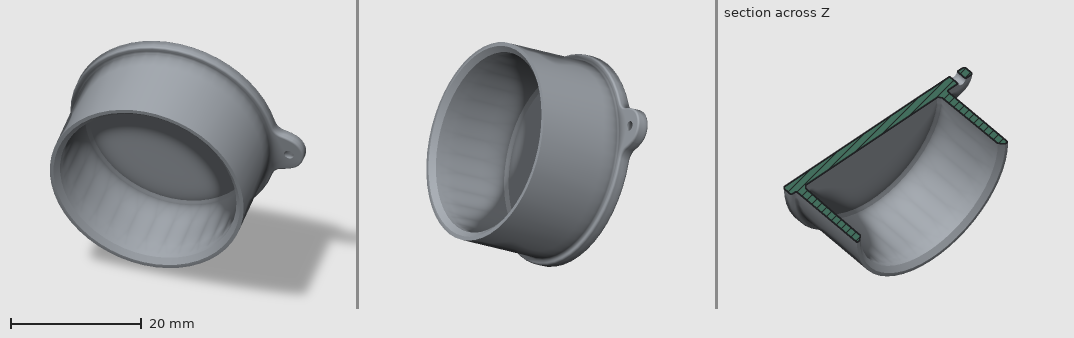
import cadquery as cq
import math


barrel_length = 14.0
barrel_radius = 15.5
rim_width = 0.6
mouth_chamfer = 0.8
bore_mouth_radius = barrel_radius - rim_width - mouth_chamfer
bore_draft = 0.15
floor_chamfer = 0.5
bore_floor_radius = bore_mouth_radius - bore_draft

flange_thickness = 2.0
flange_radius = 16.5
back_fillet = 0.5
front_fillet = 0.3
neck_fillet = 0.3

tab_tip_x = 20.78
tab_tip_radius = 3.0
tab_side_radius = 8.0
tab_side_angle = 65.0
tab_root_radius = 2.0
hole_x = 18.5
hole_diameter = 1.5


def polar(center, radius, angle):
    """Point at a radius and angle (radians) from a center."""
    return (center[0] + radius * math.cos(angle), center[1] + radius * math.sin(angle))


def direction(start, end):
    """Angle in radians of the line from start to end."""
    return math.atan2(end[1] - start[1], end[0] - start[0])


def mirrored(point):
    """Mirror image of an outline point across the X axis."""
    return (point[0], -point[1])


def flange_outline():
    """Closed outline of disc and tab, every arc tangent to the next, in the XZ plane."""
    disc_center = (0.0, 0.0)
    tip_center = (tab_tip_x - tab_tip_radius, 0.0)
    side_angle = math.radians(tab_side_angle)
    side_center = polar(tip_center, tab_tip_radius - tab_side_radius, side_angle)

    to_disc = flange_radius + tab_root_radius
    to_side = tab_side_radius + tab_root_radius
    spacing = math.dist(disc_center, side_center)
    cos_corner = (to_disc**2 + spacing**2 - to_side**2) / (2 * to_disc * spacing)
    root_angle = direction(disc_center, side_center) + math.acos(cos_corner)
    root_center = polar(disc_center, to_disc, root_angle)
    side_start_angle = direction(side_center, root_center)

    disc_end = polar(disc_center, flange_radius, root_angle)
    root_mid = polar(root_center, tab_root_radius,
                     math.pi + (root_angle + side_start_angle) / 2)
    side_start = polar(side_center, tab_side_radius, side_start_angle)
    side_mid = polar(side_center, tab_side_radius, (side_start_angle + side_angle) / 2)
    tip_start = polar(tip_center, tab_tip_radius, side_angle)

    return (
        cq.Workplane("XZ")
        .moveTo(*disc_end)
        .threePointArc(root_mid, side_start)
        .threePointArc(side_mid, tip_start)
        .threePointArc((tab_tip_x, 0), mirrored(tip_start))
        .threePointArc(mirrored(side_mid), mirrored(side_start))
        .threePointArc(mirrored(root_mid), mirrored(disc_end))
        .threePointArc((-flange_radius, 0), disc_end)
        .close()
    )


def make_flange():
    """Flange plate with its tab, rounded along both edges."""
    plate = flange_outline().extrude(-flange_thickness)
    plate = plate.faces(">Y").edges().fillet(back_fillet)
    plate = plate.faces("<Y").edges().fillet(front_fillet)
    return plate.translate((0, barrel_length, 0))


def make_barrel():
    """Solid barrel, flaring into the flange through a concave fillet."""
    flare_radius = barrel_radius + neck_fillet
    neck_start = barrel_length - neck_fillet
    diagonal = neck_fillet * math.sqrt(0.5)
    return (
        cq.Workplane("XY")
        .lineTo(barrel_radius, 0)
        .lineTo(barrel_radius, neck_start)
        .threePointArc((flare_radius - diagonal, neck_start + diagonal), (flare_radius, barrel_length))
        .lineTo(0, barrel_length)
        .close()
        .revolve(360, (0, 0, 0), (0, 1, 0))
    )


def make_bore():
    """Tapered cavity with a chamfered mouth and a chamfered floor corner."""
    return (
        cq.Workplane("XY")
        .lineTo(bore_mouth_radius + mouth_chamfer, 0)
        .lineTo(bore_mouth_radius, mouth_chamfer)
        .lineTo(bore_floor_radius, barrel_length - floor_chamfer)
        .lineTo(bore_floor_radius - floor_chamfer, barrel_length)
        .lineTo(0, barrel_length)
        .close()
        .revolve(360, (0, 0, 0), (0, 1, 0))
    )


def make_tether_hole():
    """Round hole through the tab, parallel to the barrel axis."""
    hole = cq.Workplane("XZ").center(hole_x, 0).circle(hole_diameter / 2).extrude(-flange_thickness)
    return hole.translate((0, barrel_length, 0))


result = make_flange().union(make_barrel()).cut(make_bore()).cut(make_tether_hole())